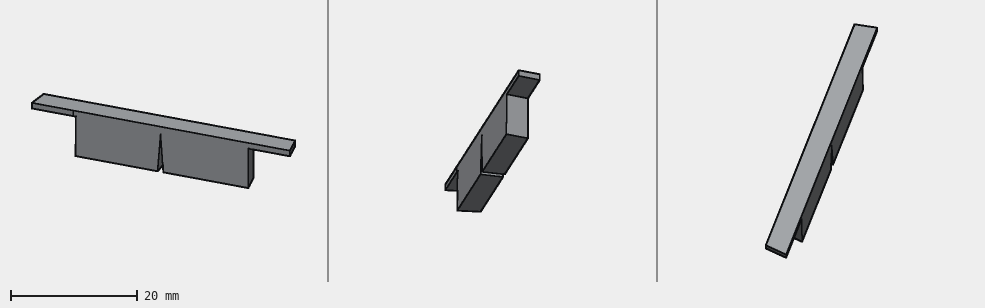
import cadquery as cq

length = 44.15
depth = 3.7
height = 8.0
flange_thickness = 1.0
end_taper = 0.57
front_lean = 0.1
web_left = 7.5
web_right = 37.05
notch_center = 22.03
notch_width = 0.95
notch_depth = 6.6
plain_end_length = 7.1

web_height = height - flange_thickness
top_depth = depth - front_lean
flange_depth = depth - front_lean * web_height / height


def make_tapered_bar(left, right, bar_height):
    """Bar whose slanted ends narrow it towards the back."""
    front = depth - flange_depth
    corners = [
        (left, 0),
        (right, 0),
        (right, front),
        (right - end_taper, depth),
        (left + end_taper, depth),
        (left, front),
    ]
    return cq.Workplane("XY").polyline(corners).close().extrude(bar_height)


def make_body():
    """Flange resting on the shorter web."""
    flange = make_tapered_bar(0, length, flange_thickness).translate((0, 0, web_height))
    return flange.union(make_tapered_bar(web_left, web_right, height))


def make_notch():
    """V notch through the web, open at the bottom."""
    triangle = [
        (notch_center - notch_width / 2, 0),
        (notch_center, notch_depth),
        (notch_center + notch_width / 2, 0),
    ]
    return cq.Workplane("XZ").polyline(triangle).close().extrude(-depth)


def make_front_envelope():
    """Side section with the slightly leaning front face."""
    section = [(0, 0), (depth, 0), (depth, height), (depth - top_depth, height)]
    return cq.Workplane("YZ").polyline(section).close().extrude(length)


def make_plain_end_cut():
    """Sliver that makes the front of the left flange end upright."""
    return cq.Workplane("XY").box(plain_end_length, front_lean, height, centered=False)


result = make_body().intersect(make_front_envelope())
result = result.cut(make_notch()).cut(make_plain_end_cut())